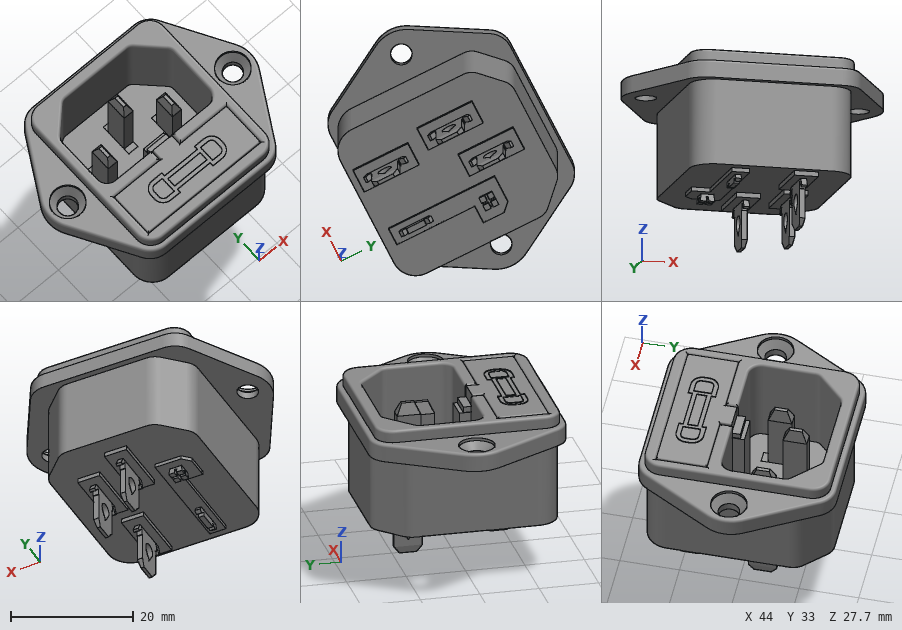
import cadquery as cq
import math


shell_top = 19.3
shell_half_x = 13.6
shell_half_y = 15.45
shell_chamfer = 5.0
shell_corner_radius = 4.0
shell_chamfer_radius = 3.0
edge_radius = 0.5

flange_half_x = 43.95 / 2
flange_half_y = 33.0 / 2
flange_top = shell_top - 2.02
flange_bottom = shell_top - 5.0
flange_slope = math.radians(30)
flange_end_radius = 6.0
flange_corner_radius = 4.0
screw_x = 18.0
screw_diameter = 3.5
screw_head_diameter = 6.0
screw_head_depth = 0.5

bezel_half_x = 13.9
bezel_half_y = 15.5
bezel_corner_radius = 3.0

well_depth = 16.0
well_floor = shell_top - well_depth
well_half_x = 12.15
well_back = 13.4
well_front = -2.8
well_chamfer = 4.9
well_chamfer_radius = 1.5
well_corner_radius = 2.02

drawer_half_x = 12.22
drawer_back = -4.95
drawer_front = -13.45
drawer_y = (drawer_back + drawer_front) / 2
drawer_top = shell_top
drawer_edge_radius = 0.2
neck_half_x = 2.2
tab_half_x = 2.05
tab_end = -3.0
latch_end = -1.55
latch_top = drawer_top - 2.02
shelf_end = -0.85
shelf_top = drawer_top - 3.0

symbol_depth = 0.15
symbol_half_length = 7.5
symbol_half_height = 2.3
cap_radius = 1.9
cap_start = 3.55
symbol_neck_half_height = 1.6
cap_island_start = 4.18
cap_island_end = 6.7
cap_island_half_height = 1.5
cap_island_radius = 0.9
wire_half_length = 3.5
wire_half_height = 0.85

earth_y = 7.35
line_x = 7.0
line_y = 3.35
pin_length_y = 4.0
pin_thickness = 2.0
pin_tip_length_y = 2.15
pin_tip_thickness = 0.6
pin_tip_height = 2.0
earth_pin_top = shell_top - 1.05
line_pin_top = shell_top - 4.2
base_length_y = 6.35
base_height = 2.0
base_bottom = well_floor - base_height

boss_thickness = 0.8
boss_width_x = 4.05
boss_length_y = 10.05
terminal_bottom = -8.4
terminal_thickness = 0.95
terminal_half_y = 2.37
shoulder_half_y = 2.5
shoulder_bottom = terminal_bottom + 6.05
terminal_tip_half_y = 1.45
terminal_tip_height = 1.2
terminal_tip_thickness = 0.55
eye_radius = 1.2
eye_z = terminal_bottom + 4.5
eye_point_z = terminal_bottom + 2.35
fuse_contact_x = 5.45

barb_points = [(2.5, 0.4), (3.47, 1.5), (3.85, 1.25), (3.25, 0)]

bar_thickness = 0.65
bar_right = -3.95
bar_left = -6.95
bar_front = -13.55
bar_pad_left = -10.05
bar_pad_front = 0.75
bar_back = 5.95
bar_chamfer = 1.3

rivet_shank = 2.15
rivet_end = 2.4
rivet_height = 1.2
rivet_slot_width = 0.4
rivet_slot_height = 0.75
short_half_y = 1.63
short_length = 1.2
short_barb_points = [(1.63, 0.5), (2.37, 1.1), (2.95, 0.7), (2.6, 0)]


def block(x0, x1, y0, y1, z0, z1):
    """Box between two opposite corners."""
    return cq.Workplane("XY").box(x1 - x0, y1 - y0, z1 - z0, centered=False).translate((x0, y0, z0))


def chamfered_back_prism(half_x, front, back, chamfer, front_radius, back_radius, z0, z1):
    """Upright prism with rounded front corners and two rounded 45 degree back corners."""
    prism = (
        cq.Workplane("XY")
        .workplane(offset=z0)
        .moveTo(-half_x, front)
        .lineTo(half_x, front)
        .lineTo(half_x, back - chamfer)
        .lineTo(half_x - chamfer, back)
        .lineTo(chamfer - half_x, back)
        .lineTo(-half_x, back - chamfer)
        .close()
        .extrude(z1 - z0)
    )
    prism = prism.edges("|Z and (not <Y)").fillet(back_radius)
    return prism.edges("|Z and <Y").fillet(front_radius)


def make_flange():
    """Six-sided flange with two pointed, rounded ends."""
    cosine = math.cos(flange_slope)
    point_x = flange_half_x + flange_end_radius * (1 / cosine - 1)
    corner_x = point_x - flange_half_y * math.tan(flange_slope)
    flange = (
        cq.Workplane("XY")
        .workplane(offset=flange_bottom)
        .polyline(
            [
                (point_x, 0),
                (corner_x, flange_half_y),
                (-corner_x, flange_half_y),
                (-point_x, 0),
                (-corner_x, -flange_half_y),
                (corner_x, -flange_half_y),
            ]
        )
        .close()
        .extrude(flange_top - flange_bottom)
    )
    flange = flange.edges("|Z and (<X or >X)").fillet(flange_end_radius)
    flange = flange.edges("|Z and (<Y or >Y)").fillet(flange_corner_radius)
    return flange.faces(">Z").edges().fillet(edge_radius)


def make_screw_hole():
    """Hole at the origin: through bore, 90 degree cone and a short cylinder for the screw head."""
    cone_top = flange_top - screw_head_depth
    bore_radius = screw_diameter / 2
    head_radius = screw_head_diameter / 2
    cone_bottom = cone_top - (head_radius - bore_radius)
    return (
        cq.Workplane("XZ")
        .moveTo(0, flange_bottom)
        .lineTo(bore_radius, flange_bottom)
        .lineTo(bore_radius, cone_bottom)
        .lineTo(head_radius, cone_top)
        .lineTo(head_radius, flange_top)
        .lineTo(0, flange_top)
        .close()
        .revolve(360, (0, 0, 0), (0, 1, 0))
    )


def make_opening():
    """Space cut from the top of the housing: well, drawer recess and the neck between them."""
    well = chamfered_back_prism(
        well_half_x, well_front, well_back, well_chamfer,
        well_corner_radius, well_chamfer_radius, well_floor, shell_top,
    )
    recess = block(-drawer_half_x, drawer_half_x, drawer_front, drawer_back, well_floor, shell_top)
    neck = block(-neck_half_x, neck_half_x, drawer_back, well_front, well_floor, shell_top)
    return well.union(recess).union(neck)


def make_boss(x, y):
    """Flat pad under the housing around a solder terminal."""
    return block(
        x - boss_width_x / 2, x + boss_width_x / 2,
        y - boss_length_y / 2, y + boss_length_y / 2,
        -boss_thickness, 0,
    )


def make_housing():
    shell = chamfered_back_prism(
        shell_half_x, -shell_half_y, shell_half_y, shell_chamfer,
        shell_corner_radius, shell_chamfer_radius, 0, flange_top,
    )
    bezel = (
        block(-bezel_half_x, bezel_half_x, -bezel_half_y, bezel_half_y, flange_bottom, shell_top)
        .edges("|Z")
        .fillet(bezel_corner_radius)
    )
    bezel = bezel.cut(make_opening()).faces(">Z").edges().fillet(edge_radius)
    housing = shell.union(make_flange()).cut(make_opening()).union(bezel)
    for x in (-screw_x, screw_x):
        housing = housing.cut(make_screw_hole().translate((x, 0, 0)))
    shelf = block(-neck_half_x, neck_half_x, drawer_back, shelf_end, well_floor, shelf_top)
    housing = housing.union(shelf)
    for x, y in ((0, earth_y), (line_x, line_y), (fuse_contact_x, drawer_y)):
        housing = housing.union(make_boss(x, y))
    return housing


def make_symbol():
    """Groove in the shape of a fuse: two caps and a body, with raised islands left inside."""
    groove = cq.Workplane("XY").rect(2 * cap_start, 2 * symbol_neck_half_height).extrude(symbol_depth)
    for side in (-1, 1):
        cap = (
            cq.Workplane("XY")
            .center(side * (cap_start + symbol_half_length) / 2, 0)
            .rect(symbol_half_length - cap_start, 2 * symbol_half_height)
            .extrude(symbol_depth)
        )
        outer = ">X" if side > 0 else "<X"
        groove = groove.union(cap.faces(outer).edges("|Z").fillet(cap_radius))
    for side in (-1, 1):
        island = (
            cq.Workplane("XY")
            .center(side * (cap_island_start + cap_island_end) / 2, 0)
            .rect(cap_island_end - cap_island_start, 2 * cap_island_half_height)
            .extrude(symbol_depth)
        )
        outer = ">X" if side > 0 else "<X"
        groove = groove.cut(island.faces(outer).edges("|Z").fillet(cap_island_radius))
    wire = cq.Workplane("XY").rect(2 * wire_half_length, 2 * wire_half_height).extrude(symbol_depth)
    return groove.cut(wire).translate((0, drawer_y, drawer_top - symbol_depth))


def make_fuse_drawer():
    body = block(-drawer_half_x, drawer_half_x, drawer_front, drawer_back, well_floor, drawer_top)
    tab = block(-tab_half_x, tab_half_x, drawer_back, tab_end, shelf_top, drawer_top)
    drawer = body.union(tab)
    drawer = drawer.faces(">Z").edges("not >Y").fillet(drawer_edge_radius)
    latch = block(-tab_half_x, tab_half_x, drawer_back, latch_end, shelf_top, latch_top)
    return drawer.union(latch).cut(make_symbol())


def make_pin(top):
    """Blade with a tapered tip on a wider base that lies flush in the well floor."""
    shoulder = top - pin_tip_height
    base = block(
        -pin_thickness / 2, pin_thickness / 2,
        -base_length_y / 2, base_length_y / 2,
        base_bottom, well_floor,
    )
    blade = cq.Workplane("XY").workplane(offset=well_floor).rect(pin_thickness, pin_length_y)
    blade = blade.extrude(shoulder - well_floor)
    tip = (
        cq.Workplane("XY")
        .workplane(offset=shoulder)
        .rect(pin_thickness, pin_length_y)
        .workplane(offset=pin_tip_height)
        .rect(pin_tip_thickness, pin_tip_length_y)
        .loft(ruled=True)
    )
    return base.union(blade).union(tip)


def make_plate(points, thickness):
    """Plate centred on the YZ plane with the given (y, z) outline."""
    return cq.Workplane("YZ").polyline(points).close().extrude(thickness / 2, both=True)


def make_barbs(points, root_z):
    """Pair of barbs bent out to both sides, starting at the surface the terminal passes through."""
    barbs = cq.Workplane("XY")
    for side in (-1, 1):
        inner_y, _ = points[0]
        outline = [(side * inner_y, root_z)] + [(side * y, root_z - drop) for y, drop in points]
        barbs = barbs.union(make_plate(outline, terminal_thickness))
    return barbs


def make_eye():
    """Teardrop hole: a circle with two tangents that meet at a point below it."""
    tangent_angle = math.asin(eye_radius / (eye_z - eye_point_z))
    tangent_y = eye_radius * math.cos(tangent_angle)
    tangent_z = eye_z - eye_radius * math.sin(tangent_angle)
    return (
        cq.Workplane("YZ")
        .moveTo(0, eye_point_z)
        .lineTo(tangent_y, tangent_z)
        .threePointArc((0, eye_z + eye_radius), (-tangent_y, tangent_z))
        .close()
        .extrude(terminal_thickness, both=True)
    )


def make_terminal(top):
    """Solder tag with shoulders, barbs, a teardrop eye and a tip thinned from all four sides."""
    tip_top = terminal_bottom + terminal_tip_height
    shoulder = make_plate(
        [
            (-shoulder_half_y, top),
            (-shoulder_half_y, shoulder_bottom),
            (shoulder_half_y, shoulder_bottom),
            (shoulder_half_y, top),
        ],
        terminal_thickness,
    )
    tag = make_plate(
        [
            (-terminal_half_y, shoulder_bottom),
            (-terminal_half_y, tip_top),
            (terminal_half_y, tip_top),
            (terminal_half_y, shoulder_bottom),
        ],
        terminal_thickness,
    )
    tip = (
        cq.Workplane("XY")
        .workplane(offset=terminal_bottom)
        .rect(terminal_tip_thickness, 2 * terminal_tip_half_y)
        .workplane(offset=terminal_tip_height)
        .rect(terminal_thickness, 2 * terminal_half_y)
        .loft(ruled=True)
    )
    barbs = make_barbs(barb_points, -boss_thickness)
    return shoulder.union(tag).union(tip).union(barbs).cut(make_eye())


def make_plain_contact(pin_top):
    """Pin that carries on below the housing as a solder terminal."""
    return make_pin(pin_top).union(make_terminal(base_bottom))


def make_live_contact():
    """Pin whose shank passes through the bus bar and ends in four flared rivet prongs."""
    bar_bottom = -bar_thickness
    shank = cq.Workplane("XY").workplane(offset=bar_bottom).rect(rivet_shank, rivet_shank)
    shank = shank.extrude(base_bottom - bar_bottom)
    prongs = (
        cq.Workplane("XY")
        .workplane(offset=bar_bottom - rivet_height)
        .rect(rivet_end, rivet_end)
        .workplane(offset=rivet_height)
        .rect(rivet_shank, rivet_shank)
        .loft(ruled=True)
    )
    slot_z = bar_bottom - rivet_height + rivet_slot_height / 2
    for size in ((rivet_slot_width, rivet_end), (rivet_end, rivet_slot_width)):
        prongs = prongs.cut(cq.Workplane("XY").box(*size, rivet_slot_height).translate((0, 0, slot_z)))
    return make_pin(line_pin_top).union(shank).union(prongs)


def make_short_fuse_contact():
    """Fuse contact held by its barbs under the bus bar."""
    bottom = -bar_thickness - short_length
    stem = make_plate(
        [
            (-short_half_y, well_floor),
            (-short_half_y, bottom),
            (short_half_y, bottom),
            (short_half_y, well_floor),
        ],
        terminal_thickness,
    )
    return stem.union(make_barbs(short_barb_points, -bar_thickness))


def make_bus_bar():
    """L-shaped strip: a pad under the live pin and an arm along the fuse."""
    return (
        cq.Workplane("XY")
        .polyline(
            [
                (bar_right, bar_front),
                (bar_right, bar_back),
                (bar_pad_left + bar_chamfer, bar_back),
                (bar_pad_left, bar_back - bar_chamfer),
                (bar_pad_left, bar_pad_front),
                (bar_left, bar_pad_front),
                (bar_left, bar_front),
            ]
        )
        .close()
        .extrude(-bar_thickness)
    )


earth_contact = make_plain_contact(earth_pin_top).translate((0, earth_y, 0))
neutral_contact = make_plain_contact(line_pin_top).translate((line_x, line_y, 0))
live_contact = make_live_contact().translate((-line_x, line_y, 0))
fuse_terminal = make_terminal(well_floor).translate((fuse_contact_x, drawer_y, 0))
short_fuse_contact = make_short_fuse_contact().translate((-fuse_contact_x, drawer_y, 0))
fuse_drawer = make_fuse_drawer()
bus_bar = make_bus_bar().cut(live_contact).cut(short_fuse_contact)

housing = make_housing()
for contact in (earth_contact, neutral_contact, live_contact, fuse_terminal, short_fuse_contact):
    housing = housing.cut(contact)

result = cq.Compound.makeCompound(
    [
        housing.val(),
        fuse_drawer.val(),
        earth_contact.val(),
        neutral_contact.val(),
        live_contact.val(),
        fuse_terminal.val(),
        short_fuse_contact.val(),
        bus_bar.val(),
    ]
)